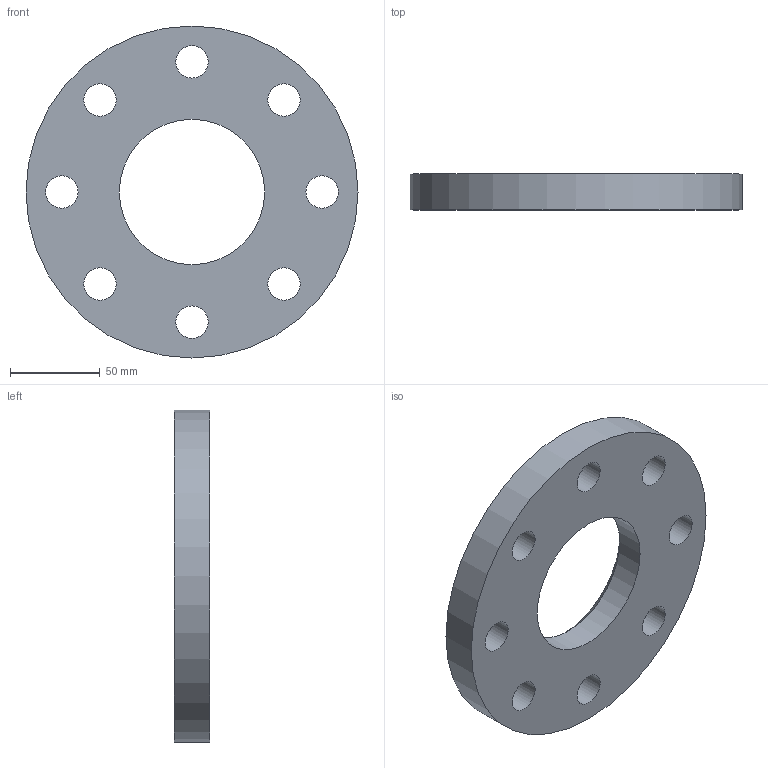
import cadquery as cq

outer_diameter = 185.0
thickness = 20.0
bore_diameter = 81.0
bore_chamfer = 4.0

bolt_circle_diameter = 145.0
bolt_hole_diameter = 18.0
bolt_hole_count = 8


def make_ring():
    """Disc with a central through bore, its front face on Y = 0."""
    return (
        cq.Workplane("XZ", origin=(0, thickness, 0))
        .circle(outer_diameter / 2)
        .circle(bore_diameter / 2)
        .extrude(thickness)
    )


def chamfer_bore(ring):
    """Chamfer the smaller circle of the rear face, where the bore ends."""
    smallest_circle = cq.selectors.RadiusNthSelector(0)
    return ring.faces(">Y").edges(smallest_circle).chamfer(bore_chamfer)


def make_bolt_holes():
    """Cylinders that cut the through holes on the bolt circle."""
    return (
        cq.Workplane("XZ", origin=(0, thickness, 0))
        .polarArray(bolt_circle_diameter / 2, 0, 360, bolt_hole_count)
        .circle(bolt_hole_diameter / 2)
        .extrude(thickness)
    )


result = chamfer_bore(make_ring()).cut(make_bolt_holes())